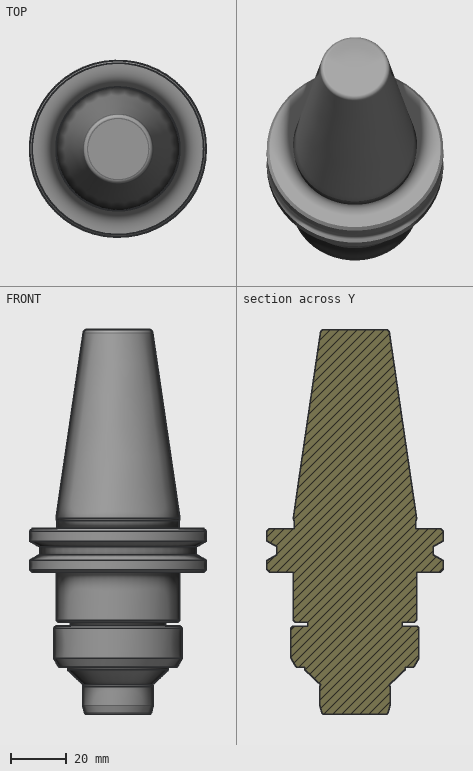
import cadquery as cq

total_height = 138.3
tip_chamfer_top = 0.7
nose_taper_top = 3.3
nose_top = 10.0
cone_bottom = 10.6
cone_top = 16.0
nut_bottom = 16.9
nut_taper_top = 20.2
nut_top = 31.8
body_bottom = 33.0
flange_bottom = 51.0
flange_top = 66.8
relief_top = 69.5
taper_bottom = 70.4

tip_radius = 11.6
nose_taper_radius = 12.0
nose_radius = 12.7
cone_base_radius = 12.5
cone_radius = 18.1
nut_bottom_radius = 21.0
nut_radius = 23.1
neck_radius = 17.1
body_radius = 22.3
flange_radius = 63.5 / 2
relief_radius = 22.0
shank_top_radius = 12.3

groove_radius = 28.2
groove_center = 58.8
groove_floor_width = 2.9
groove_mouth_width = 6.9

edge_chamfer = 0.8
flange_chamfer = 1.0
shank_round = 1.5
nut_lip_chamfer = 0.4


def revolve_profile(points):
    """Revolve (radius, height) points around Z, closing along the axis."""
    axis_start = (0, points[0][1])
    axis_end = (0, points[-1][1])
    profile = cq.Workplane("XZ").polyline([axis_start, *points, axis_end]).close()
    return profile.revolve(360, (0, 0), (0, 1))


def make_nose():
    return revolve_profile([
        (tip_radius, 0),
        (nose_taper_radius, tip_chamfer_top),
        (nose_radius, nose_taper_top),
        (nose_radius, nose_top),
        (cone_base_radius, cone_bottom),
    ])


def make_nut():
    return revolve_profile([
        (cone_base_radius, cone_bottom),
        (cone_radius, cone_top),
        (cone_radius, nut_bottom),
        (nut_bottom_radius, nut_bottom),
        (nut_bottom_radius + nut_lip_chamfer, nut_bottom + nut_lip_chamfer),
        (nut_radius, nut_taper_top),
        (nut_radius, nut_top - edge_chamfer),
        (nut_radius - edge_chamfer, nut_top),
    ])


def make_body():
    return revolve_profile([
        (neck_radius, nut_top),
        (neck_radius, body_bottom),
        (body_radius - edge_chamfer, body_bottom),
        (body_radius, body_bottom + edge_chamfer),
        (body_radius, flange_bottom),
    ])


def make_flange():
    half_floor = groove_floor_width / 2
    half_mouth = groove_mouth_width / 2
    return revolve_profile([
        (flange_radius - flange_chamfer, flange_bottom),
        (flange_radius, flange_bottom + flange_chamfer),
        (flange_radius, groove_center - half_mouth),
        (groove_radius, groove_center - half_floor),
        (groove_radius, groove_center + half_floor),
        (flange_radius, groove_center + half_mouth),
        (flange_radius, flange_top - flange_chamfer),
        (flange_radius - flange_chamfer, flange_top),
    ])


def make_shank():
    shank = revolve_profile([
        (relief_radius, flange_top),
        (relief_radius, relief_top),
        (body_radius, taper_bottom),
        (shank_top_radius, total_height),
    ])
    return shank.faces(">Z").edges().fillet(shank_round)


result = make_nose()
for section in (make_nut(), make_body(), make_flange(), make_shank()):
    result = result.union(section)